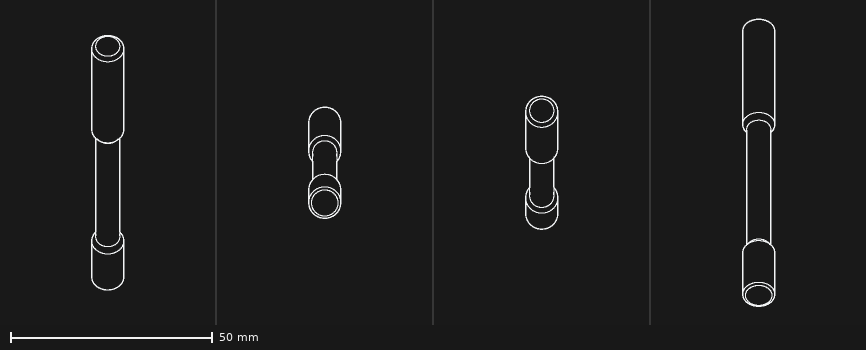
import cadquery as cq
import math

total_length = 100.0
head_diameter = 8.01
neck_diameter = 6.0

lower_head_length = 16.0
upper_head_length = 36.0

top_chamfer = 1.0
bottom_chamfer_width = 0.7
bottom_chamfer_height = 0.4
taper_angle = 30.0

head_radius = head_diameter / 2
neck_radius = neck_diameter / 2
taper_length = (head_radius - neck_radius) / math.tan(math.radians(taper_angle))
upper_head_base = total_length - upper_head_length


def turned_pin():
    """Revolve the half profile (radius, height) around the Z axis."""
    half_profile = (
        cq.Workplane("XZ")
        .moveTo(0, 0)
        .lineTo(head_radius - bottom_chamfer_width, 0)
        .lineTo(head_radius, bottom_chamfer_height)
        .lineTo(head_radius, lower_head_length)
        .lineTo(neck_radius, lower_head_length + taper_length)
        .lineTo(neck_radius, upper_head_base - taper_length)
        .lineTo(head_radius, upper_head_base)
        .lineTo(head_radius, total_length - top_chamfer)
        .lineTo(head_radius - top_chamfer, total_length)
        .lineTo(0, total_length)
        .close()
    )
    return half_profile.revolve(360, (0, 0, 0), (0, 1, 0))


result = turned_pin()